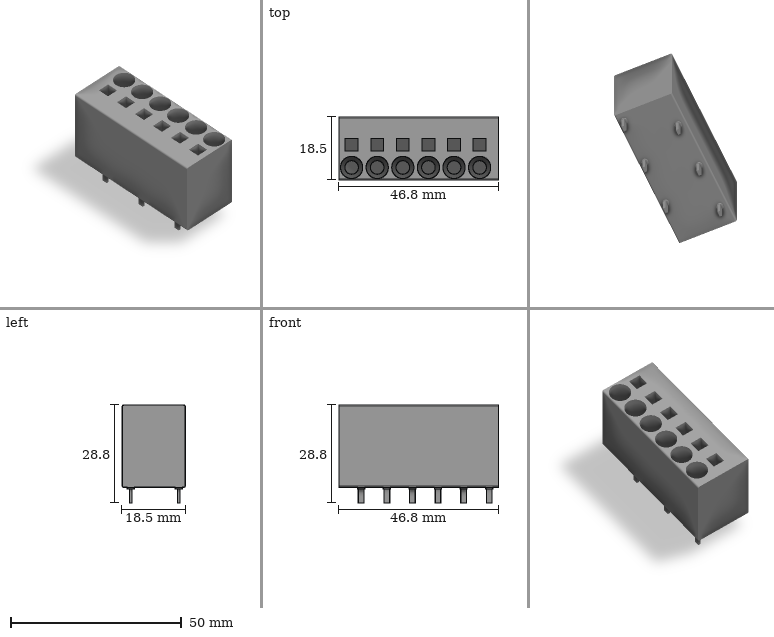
import cadquery as cq
import math

length = 46.8
depth = 18.5
overall_height = 28.75
pin_drop = 4.6
height = overall_height - pin_drop
edge_radius = 0.5

pole_count = 6
first_opening_inset = 3.75
last_opening_inset = 5.55
pitch = (length - first_opening_inset - last_opening_inset) / (pole_count - 1)
front_y = -depth / 2

first_opening_x = -length / 2 + first_opening_inset
funnel_inset = 3.7
funnel_y = front_y + funnel_inset
funnel_diameter = 6.5
funnel_floor_diameter = 4.0
funnel_straight_depth = 9.35
cone_angle = 60.0
cone_depth = (funnel_diameter - funnel_floor_diameter) / 2 * math.tan(math.radians(cone_angle))
socket_inset = 10.35
socket_y = front_y + socket_inset
socket_side = 3.75
socket_depth = 9.35

pin_offset = 2.8
first_pin_x = first_opening_x + pin_offset
front_row_inset = 1.9
front_row_y = front_y + front_row_inset
row_spacing = 14.05
collar_diameter = 2.1
collar_height = 0.45
pin_width = 1.75
pin_thickness = 0.8


def make_funnel(x):
    """Round cavity: a straight bore, then a cone that narrows to a flat floor."""
    cone_top = height - funnel_straight_depth
    bore = (
        cq.Workplane("XY", origin=(x, funnel_y, height))
        .circle(funnel_diameter / 2)
        .extrude(-funnel_straight_depth)
    )
    cone = (
        cq.Workplane("XY", origin=(x, funnel_y, cone_top))
        .circle(funnel_diameter / 2)
        .workplane(offset=-cone_depth)
        .circle(funnel_floor_diameter / 2)
        .loft(ruled=True)
    )
    return bore.union(cone)


def make_socket(x):
    """Square blind cavity with straight walls."""
    return (
        cq.Workplane("XY", origin=(x, socket_y, height))
        .rect(socket_side, socket_side)
        .extrude(-socket_depth)
    )


def make_housing():
    """Block with rounded long edges and one funnel and one socket per pole."""
    block = (
        cq.Workplane("XY")
        .box(length, depth, height, centered=(True, True, False))
        .edges("|X")
        .fillet(edge_radius)
    )
    for pole in range(pole_count):
        x = first_opening_x + pole * pitch
        block = block.cut(make_funnel(x)).cut(make_socket(x))
    return block


def make_pin(x, y):
    """Flat solder pin below a round collar that sits against the underside."""
    collar = cq.Workplane("XY", origin=(x, y, 0)).circle(collar_diameter / 2).extrude(-collar_height)
    blade = cq.Workplane("XY", origin=(x, y, 0)).rect(pin_width, pin_thickness).extrude(-pin_drop)
    return collar.union(blade)


housing = make_housing()

pins = []
for pole in range(pole_count):
    in_front_row = pole % 2 == 1
    pin_y = front_row_y if in_front_row else front_row_y + row_spacing
    pins.append(make_pin(first_pin_x + pole * pitch, pin_y).val())

result = cq.Compound.makeCompound([housing.val(), *pins])